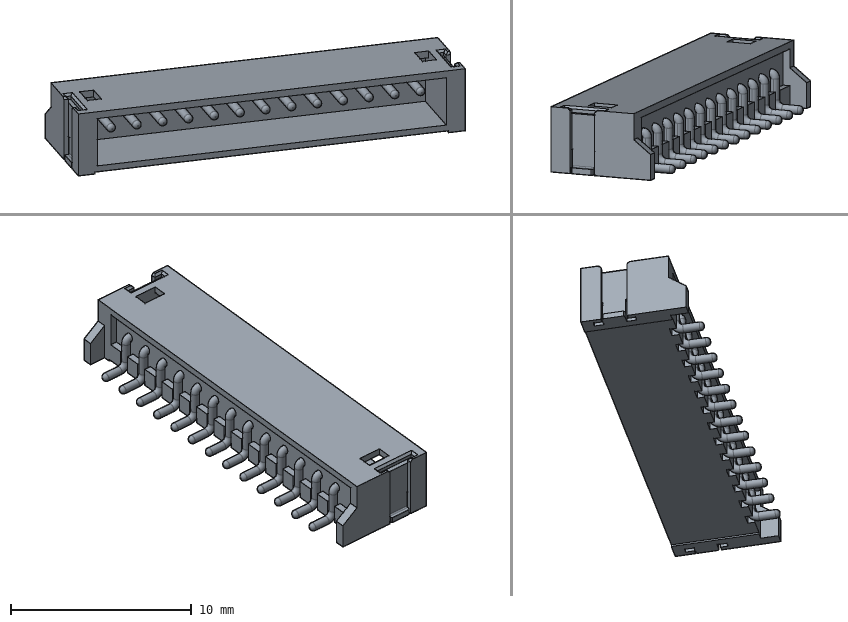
import cadquery as cq
import math


length = 22.5
mouth_x = 6.5
rear_x = 1.5
height = 3.7
standoff = 0.11
foot_width = 0.97

ear_x = 0.5
ear_width = 0.56
ear_low_z = 1.46
ear_high_z = 2.23

end_wall = 1.1
roof = 0.4
floor = 0.35
cavity_back_x = 2.7
pocket_depth = 0.4
pocket_thin_wall = 0.56
pocket_low_z = 1.22
pin_slot_width = 0.6

pin_count = 13
pin_pitch = length / (pin_count + 2)
pin_diameter = 0.5
tip_round = 0.22
lower_bend = 0.5
upper_bend = 0.27
pin_upper_z = 2.2
contact_end_x = 5.62

window_x = 3.3
window_length = 1.4
window_width = 0.8

slot_x = 3.45
slot_length = 2.4
lip = 0.27
slot_width = 0.27
slot_chamfer = 0.14
opening_x = 3.87
opening_length = 1.48
clip_top_z = 3.35
clip_shoulder_z = 1.33
tab_start_x = 4.0
tab_length = 1.3
tab_foot_thickness = 0.34
tab_foot_bend = 0.07
tab_foot_chamfer = 0.07

half_length = length / 2
cavity_half = half_length - end_wall
cavity_top_z = height - roof
pocket_back_x = rear_x + pocket_depth
pin_radius = pin_diameter / 2
ends = (-1, 1)


def block(x, y, z):
    """Box between the given (low, high) limits on each axis; limits may be in any order."""
    (x0, x1), (y0, y1), (z0, z1) = sorted(x), sorted(y), sorted(z)
    return cq.Workplane("XY").box(x1 - x0, y1 - y0, z1 - z0, centered=False).translate((x0, y0, z0))


def from_end(end, near, far):
    """Y limits of a feature lying between two depths behind the outer face of one end."""
    return end * (half_length - near), end * (half_length - far)


def ear(end):
    """Sloped ear that carries one end wall on behind the rear face."""
    outline = [
        (rear_x, 0),
        (ear_x, 0),
        (ear_x, ear_low_z),
        (rear_x, ear_high_z),
    ]
    low_y, high_y = sorted(from_end(end, 0, ear_width))
    profile = cq.Workplane("XZ").polyline(outline).close()
    return profile.extrude(low_y - high_y).translate((0, low_y, 0))


def chamfered_shaft(x, y):
    """Vertical shaft through the full height, with its upper rim chamfered outward."""
    shaft = block(x, y, (0, height))
    middle = ((x[0] + x[1]) / 2, (y[0] + y[1]) / 2, height)
    rim_length = abs(x[1] - x[0]) + 2 * slot_chamfer
    rim_width = abs(y[1] - y[0]) + 2 * slot_chamfer
    lead_in = cq.Workplane("XY", origin=middle).rect(rim_length, rim_width).extrude(-slot_chamfer, taper=45)
    return shaft.union(lead_in)


def clip_slot(end):
    """T-shaped slot through one end wall: a wide shaft for the clip and an opening to the outside."""
    wide_part = chamfered_shaft(
        (slot_x, slot_x + slot_length),
        from_end(end, lip, lip + slot_width),
    )
    opening = chamfered_shaft(
        (opening_x, opening_x + opening_length),
        from_end(end, -slot_chamfer, lip),
    )
    return wide_part.union(opening)


def clip(end):
    """Retention clip: a wide plate in the slot, narrowing to a tab bent outward into a foot."""
    plate = block(
        (slot_x, slot_x + slot_length),
        from_end(end, lip, lip + slot_width),
        (clip_shoulder_z, clip_top_z),
    )
    tab_x = (tab_start_x, tab_start_x + tab_length)
    tab = block(tab_x, from_end(end, lip, lip + slot_width), (0, clip_shoulder_z))
    foot = block(tab_x, from_end(end, 0, lip), (0, tab_foot_thickness))
    outer_side = "<Y" if end < 0 else ">Y"
    foot = foot.faces(outer_side).edges("|Z").chamfer(tab_foot_chamfer)
    bent_tab = tab.union(foot)
    inside_corner = cq.selectors.NearestToPointSelector(
        (tab_start_x + tab_length / 2, end * (half_length - lip), tab_foot_thickness)
    )
    bent_tab = bent_tab.edges(inside_corner).fillet(tab_foot_bend)
    return plate.union(bent_tab)


def window(end):
    """Rectangular window through the roof into the end of the cavity."""
    return block(
        (window_x, window_x + window_length),
        from_end(end, end_wall, end_wall + window_width),
        (cavity_top_z, height),
    )


def pin(y):
    """Round pin: solder leg, vertical leg and contact joined by two bends, with rounded ends."""
    leg_x = pocket_back_x - pin_radius
    lower_z = pin_radius
    diagonal = math.sqrt(0.5)
    path = (
        cq.Workplane("XZ", origin=(0, y, 0))
        .moveTo(0, lower_z)
        .lineTo(leg_x - lower_bend, lower_z)
        .threePointArc(
            (leg_x - lower_bend * (1 - diagonal), lower_z + lower_bend * (1 - diagonal)),
            (leg_x, lower_z + lower_bend),
        )
        .lineTo(leg_x, pin_upper_z - upper_bend)
        .threePointArc(
            (leg_x + upper_bend * (1 - diagonal), pin_upper_z - upper_bend * (1 - diagonal)),
            (leg_x + upper_bend, pin_upper_z),
        )
        .lineTo(contact_end_x, pin_upper_z)
    )
    wire = cq.Workplane("YZ", origin=(0, y, lower_z)).circle(pin_radius).sweep(path)
    return wire.faces("<X or >X").edges().fillet(tip_round)


pin_places = [(i - (pin_count - 1) / 2) * pin_pitch for i in range(pin_count)]

housing = block((rear_x, mouth_x), (-half_length, half_length), (standoff, height))
for end in ends:
    foot_strip = block((rear_x, mouth_x), from_end(end, 0, foot_width), (0, standoff))
    housing = housing.union(foot_strip).union(ear(end))
housing = housing.cut(
    block((cavity_back_x, mouth_x), (-cavity_half, cavity_half), (standoff + floor, cavity_top_z))
)

housing = housing.cut(
    block(
        (rear_x, pocket_back_x),
        (pocket_thin_wall - half_length, cavity_half),
        (pocket_low_z, cavity_top_z),
    )
)

for y in pin_places:
    slot_y = (y - pin_slot_width / 2, y + pin_slot_width / 2)
    housing = housing.cut(block((rear_x, pocket_back_x), slot_y, (standoff, pocket_low_z)))

for end in ends:
    housing = housing.cut(window(end)).cut(clip_slot(end))

result = housing
for end in ends:
    result = result.union(clip(end))
for y in pin_places:
    result = result.union(pin(y))